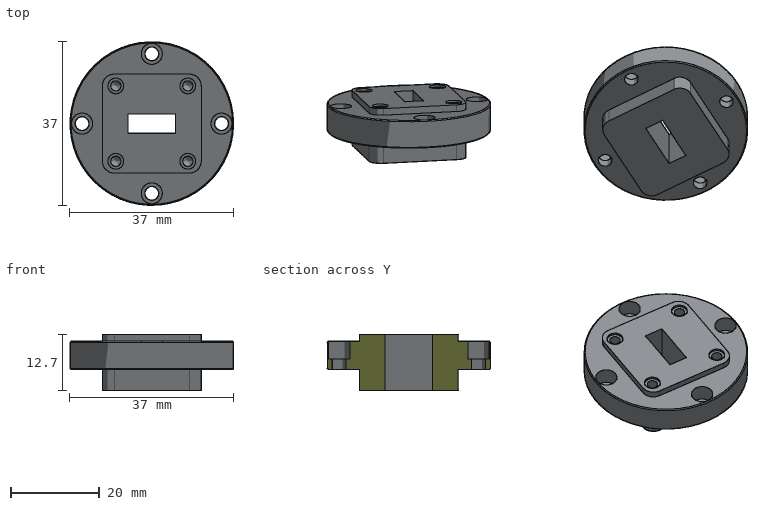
import cadquery as cq
import math

total_height = 12.7
flange_thickness = 6.43
raised_face_height = 1.524
flange_bottom = total_height - raised_face_height - flange_thickness
flange_top = flange_bottom + flange_thickness

flange_diameter = 36.96
flange_chamfer = 0.25

body_side = 22.35
body_corner_radius = 2.7

waveguide_width = 10.668
waveguide_height = 4.318

mount_hole_count = 4
mount_circle_radius = 15.75
mount_hole_diameter = 3.05
mount_counterbore_diameter = 4.76
mount_counterbore_depth = 4.0

screw_spacing_x = 16.26
screw_spacing_y = 17.02
screw_hole_diameter = 2.3
screw_hole_depth = 8.0
screw_recess_diameter = 3.55
screw_recess_depth = 0.5
drill_point_angle = 118


def make_flange():
    """Round flange with both rims chamfered."""
    disc = cq.Workplane("XY").workplane(offset=flange_bottom)
    disc = disc.circle(flange_diameter / 2).extrude(flange_thickness)
    return disc.faces("<Z or >Z").chamfer(flange_chamfer)


def make_body():
    """Square body with rounded vertical corners, over the full height."""
    block = cq.Workplane("XY").rect(body_side, body_side).extrude(total_height)
    return block.edges("|Z").fillet(body_corner_radius)


def cut_waveguide(part):
    """Rectangular opening through the full height."""
    opening = cq.Workplane("XY").rect(waveguide_width, waveguide_height).extrude(total_height)
    return part.cut(opening)


def cut_mounting_holes(part):
    """Counterbored through holes, evenly spaced on a circle around the body."""
    return (
        part.copyWorkplane(cq.Workplane("XY", origin=(0, 0, flange_top)))
        .polarArray(mount_circle_radius, 0, 360, mount_hole_count)
        .cboreHole(
            mount_hole_diameter,
            mount_counterbore_diameter,
            mount_counterbore_depth,
            depth=flange_thickness,
        )
    )


def cut_screw_holes(part):
    """Blind holes with drill points, each with a shallow round recess at its mouth."""
    radius = screw_hole_diameter / 2
    point_depth = radius / math.tan(math.radians(drill_point_angle / 2))
    cutter = (
        cq.Workplane("XZ")
        .moveTo(0, 0)
        .lineTo(screw_recess_diameter / 2, 0)
        .lineTo(screw_recess_diameter / 2, -screw_recess_depth)
        .lineTo(radius, -screw_recess_depth)
        .lineTo(radius, -screw_hole_depth)
        .lineTo(0, -screw_hole_depth - point_depth)
        .close()
        .revolve(360, (0, 0), (0, 1))
    )
    for side_x in (-1, 1):
        for side_y in (-1, 1):
            x = side_x * screw_spacing_x / 2
            y = side_y * screw_spacing_y / 2
            part = part.cut(cutter.translate((x, y, total_height)))
    return part


result = make_flange().union(make_body())
result = cut_waveguide(result)
result = cut_mounting_holes(result)
result = cut_screw_holes(result)